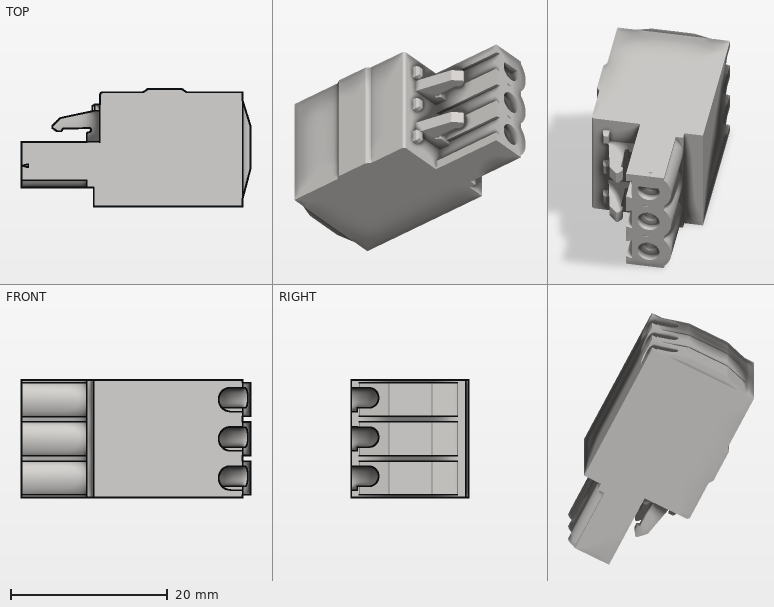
import cadquery as cq
import math


pole_pitch = 5.0
pole_count = 3
height = pole_pitch * pole_count
pole_zs = [pole_pitch * (index + 0.5) for index in range(pole_count)]
contact_y = 5.37

housing_front_x = 10.0
housing_back_x = 28.2
housing_width = 14.6
housing_corner_radius = 0.4

ridge_start_x = 15.5
ridge_end_x = 21.05
ridge_slope = 0.6
total_width = 15.0

plug_top_y = 8.27
plug_valley_y = 3.36
lobe_radius = 2.95
lobe_length = 8.3
collar_front_x = 9.2
plug_bottom_y = contact_y - lobe_radius

socket_diameter = 2.86
socket_depth = 1.0
pin_diameter = 1.46
pin_depth = 8.0
key_flat_z = pole_zs[-1] + 0.65

keyway_depth = 0.75
keyway_mouth_width = 2.5
keyway_floor_width = 2.95

latch_thickness = 1.57
latch_spacing = 6.55
latch_root_top_y = 12.38
latch_shoulder_start = (5.08, 11.34)
latch_shoulder_middle = (4.93, 11.28)
latch_shoulder_end = (4.81, 11.17)
latch_tip_x = 3.9
latch_tip_top_y = 10.28
latch_tip_bottom_y = 10.03
latch_hook_start_x = 4.55
latch_hook_end_x = 5.1
latch_hook_y = 9.6
latch_arm_start_x = 5.3
latch_arm_bend_x = 7.05
latch_arm_bottom_y = 9.95
latch_throat_start = (8.6, 10.03)
latch_throat_middle = (8.86, 9.78)
latch_throat_end = (8.62, 9.5)
latch_foot_round_middle = (8.39, 9.41)
latch_foot_round_end_y = 9.2

stop_length = 1.0
stop_bottom_y = 12.22
stop_width = 0.8
stop_height = 1.6
stop_bevel_length = 0.37
stop_bevel_inset = 0.2

guide_back_x = 29.2
guide_thickness = 4.3
guide_base_ys = (1.04, 13.55)
guide_flat_ys = (4.8, 10.3)

slot_nose_radius = 1.53
slot_nose_x = 26.67
channel_radius = 1.28
channel_offset_z = 0.22
channel_depth = 3.5
ledge_depth = 0.75

arrow_length = 0.75
arrow_width = 0.42
arrow_depth = 0.1
arrow_tip_y = 5.33
side_arrow_tip_x = 0.1
side_arrow_y = 5.22


def box(x_range, y_range, z_range):
    """Box between the given limits."""
    sizes = [end - start for start, end in (x_range, y_range, z_range)]
    corner = (x_range[0], y_range[0], z_range[0])
    return cq.Workplane("XY").box(*sizes, centered=False).translate(corner)


def yz_plane(x):
    """Work plane at the given X with Y and Z as its axes, facing +X."""
    return cq.Workplane("YZ", origin=(x, 0, 0))


def make_housing():
    block = box((housing_front_x, housing_back_x), (0, housing_width), (0, height))
    block = block.edges("<X and >Y").fillet(housing_corner_radius)
    skirt = box((collar_front_x, housing_front_x), (0, plug_top_y), (0, height))
    ridge = (
        cq.Workplane("XY")
        .moveTo(ridge_start_x, housing_width)
        .lineTo(ridge_start_x + ridge_slope, total_width)
        .lineTo(ridge_end_x - ridge_slope, total_width)
        .lineTo(ridge_end_x, housing_width)
        .close()
        .extrude(height)
    )
    return block.union(skirt).union(ridge)


def make_plug():
    plug = box((0, housing_front_x), (plug_valley_y, plug_top_y), (0, height))
    collar = box((lobe_length, collar_front_x), (plug_bottom_y, plug_top_y), (0, height))
    plug = plug.union(collar)
    half_chord = math.sqrt(lobe_radius**2 - (contact_y - plug_valley_y) ** 2)
    for z in pole_zs:
        lobe = (
            yz_plane(0)
            .moveTo(plug_valley_y, z - half_chord)
            .threePointArc((plug_bottom_y, z), (plug_valley_y, z + half_chord))
            .close()
            .extrude(lobe_length)
        )
        plug = plug.union(lobe)
    return plug


def make_keyway(z):
    floor_y = plug_top_y - keyway_depth
    return (
        yz_plane(0)
        .moveTo(plug_top_y, z - keyway_mouth_width / 2)
        .lineTo(floor_y, z - keyway_floor_width / 2)
        .lineTo(floor_y, z + keyway_floor_width / 2)
        .lineTo(plug_top_y, z + keyway_mouth_width / 2)
        .close()
        .extrude(housing_front_x)
    )


def make_contact_hole(z):
    socket = yz_plane(0).center(contact_y, z).circle(socket_diameter / 2).extrude(socket_depth)
    pin_hole = yz_plane(0).center(contact_y, z).circle(pin_diameter / 2).extrude(pin_depth)
    hole = socket.union(pin_hole)
    key = box((0, pin_depth), (0, plug_top_y), (key_flat_z, height))
    return hole.cut(key)


def make_latch(z):
    """Hooked spring arm with its foot standing on the keyway floor."""
    foot_y = plug_top_y - keyway_depth
    return (
        cq.Workplane("XY", origin=(0, 0, z - latch_thickness / 2))
        .moveTo(housing_front_x, latch_root_top_y)
        .lineTo(*latch_shoulder_start)
        .threePointArc(latch_shoulder_middle, latch_shoulder_end)
        .lineTo(latch_tip_x, latch_tip_top_y)
        .lineTo(latch_tip_x, latch_tip_bottom_y)
        .lineTo(latch_hook_start_x, latch_hook_y)
        .lineTo(latch_hook_end_x, latch_hook_y)
        .lineTo(latch_arm_start_x, latch_arm_bottom_y)
        .lineTo(latch_arm_bend_x, latch_arm_bottom_y)
        .lineTo(*latch_throat_start)
        .threePointArc(latch_throat_middle, latch_throat_end)
        .threePointArc(latch_foot_round_middle, (lobe_length, latch_foot_round_end_y))
        .lineTo(lobe_length, foot_y)
        .lineTo(housing_front_x, foot_y)
        .close()
        .extrude(latch_thickness)
    )


def make_stop(z):
    """Small block, bevelled at the front on every side but the -Y one."""
    front_x = housing_front_x - stop_length
    bevel_end_x = front_x + stop_bevel_length
    top_y = stop_bottom_y + stop_width
    half_height = stop_height / 2
    side_profile = (
        cq.Workplane("XY", origin=(0, 0, z - half_height))
        .moveTo(housing_front_x, stop_bottom_y)
        .lineTo(front_x, stop_bottom_y)
        .lineTo(front_x, top_y - stop_bevel_inset)
        .lineTo(bevel_end_x, top_y)
        .lineTo(housing_front_x, top_y)
        .close()
        .extrude(stop_height)
    )
    height_profile = (
        cq.Workplane("XZ", origin=(0, stop_bottom_y, z))
        .moveTo(housing_front_x, -half_height)
        .lineTo(bevel_end_x, -half_height)
        .lineTo(front_x, -half_height + stop_bevel_inset)
        .lineTo(front_x, half_height - stop_bevel_inset)
        .lineTo(bevel_end_x, half_height)
        .lineTo(housing_front_x, half_height)
        .close()
        .extrude(-stop_width)
    )
    return side_profile.intersect(height_profile)


def make_wire_guide(z):
    return (
        cq.Workplane("XY", origin=(0, 0, z - guide_thickness / 2))
        .moveTo(housing_back_x, guide_base_ys[0])
        .lineTo(guide_back_x, guide_flat_ys[0])
        .lineTo(guide_back_x, guide_flat_ys[1])
        .lineTo(housing_back_x, guide_base_ys[1])
        .close()
        .extrude(guide_thickness)
    )


def make_slot(z):
    """Round-nosed slot, shallow over its whole width, with a deeper rounded channel."""
    slot_end_x = guide_back_x
    nose_start_x = slot_nose_x - slot_nose_radius
    outline = (
        cq.Workplane("XZ", origin=(0, 0, z))
        .moveTo(slot_end_x, -slot_nose_radius)
        .lineTo(slot_nose_x, -slot_nose_radius)
        .threePointArc((nose_start_x, 0), (slot_nose_x, slot_nose_radius))
        .lineTo(slot_end_x, slot_nose_radius)
        .close()
        .extrude(-channel_depth)
    )
    channel_z = z + channel_offset_z
    wall_depth = channel_depth - channel_radius
    channel = (
        yz_plane(nose_start_x)
        .moveTo(0, channel_z - channel_radius)
        .lineTo(wall_depth, channel_z - channel_radius)
        .threePointArc((channel_depth, channel_z), (wall_depth, channel_z + channel_radius))
        .lineTo(0, channel_z + channel_radius)
        .close()
        .extrude(slot_end_x - nose_start_x)
    )
    ledge = box(
        (nose_start_x, slot_end_x),
        (0, ledge_depth),
        (z - slot_nose_radius, z + slot_nose_radius),
    )
    return outline.intersect(channel.union(ledge))


def make_front_arrow(z):
    """Shallow arrow in the plug face, pointing to -Y."""
    base_y = arrow_tip_y + arrow_length
    return (
        yz_plane(0)
        .polyline([(arrow_tip_y, z), (base_y, z - arrow_width / 2), (base_y, z + arrow_width / 2)])
        .close()
        .extrude(arrow_depth)
    )


def make_side_arrow():
    """Shallow arrow in the +Z side of the plug, pointing to -X."""
    base_x = side_arrow_tip_x + arrow_length
    base_ys = (side_arrow_y - arrow_width / 2, side_arrow_y + arrow_width / 2)
    return (
        cq.Workplane("XY", origin=(0, 0, height))
        .polyline([(side_arrow_tip_x, side_arrow_y), (base_x, base_ys[0]), (base_x, base_ys[1])])
        .close()
        .extrude(-arrow_depth)
    )


result = make_housing().union(make_plug())
for pole_z in pole_zs:
    result = result.union(make_stop(pole_z))
    result = result.union(make_wire_guide(pole_z))
    result = result.cut(make_keyway(pole_z))
    result = result.cut(make_contact_hole(pole_z))
    result = result.cut(make_slot(pole_z))
for side in (-1, 1):
    result = result.union(make_latch(height / 2 + side * latch_spacing / 2))
for gap in range(1, pole_count):
    result = result.cut(make_front_arrow(gap * pole_pitch))
result = result.cut(make_side_arrow())